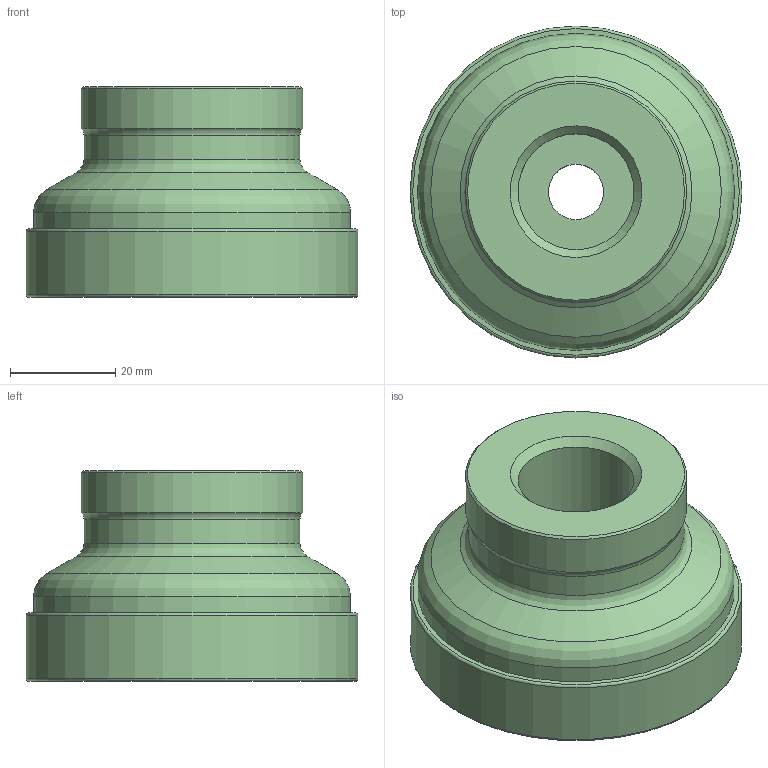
import cadquery as cq
import math

base_diameter = 63.0
base_height = 13.0
base_edge_radius = 0.5

total_height = 40.0
shoulder_radius = 60.2 / 2
shoulder_wall_top = 16.1
shoulder_round = 5.0
flank_angle = math.radians(30)
neck_radius = 41.0 / 2
neck_round = 3.0
collar_radius = 42.0 / 2
collar_height = 8.0
collar_chamfer = 0.4
undercut_round = 2.0

bore_diameter = 22.0
bore_chamfer = 1.5
bolt_hole_diameter = 10.5


def arc_point(center, radius, angle):
    """Point on a circle in the radius-height plane."""
    return (center[0] + radius * math.cos(angle), center[1] + radius * math.sin(angle))


def make_base():
    disc = (
        cq.Workplane("XY")
        .circle(base_diameter / 2)
        .extrude(base_height)
        .edges()
        .fillet(base_edge_radius)
    )
    return disc.faces(">Z").workplane().hole(bolt_hole_diameter)


def make_housing():
    flank_normal = math.pi / 2 - flank_angle

    shoulder_center = (shoulder_radius - shoulder_round, shoulder_wall_top)
    shoulder_middle = arc_point(shoulder_center, shoulder_round, flank_normal / 2)
    flank_bottom = arc_point(shoulder_center, shoulder_round, flank_normal)

    neck_center_radius = neck_radius + neck_round
    flank_top_radius = neck_center_radius - neck_round * math.cos(flank_normal)
    flank_top_height = flank_bottom[1] + (flank_bottom[0] - flank_top_radius) * math.tan(flank_angle)
    flank_top = (flank_top_radius, flank_top_height)
    neck_bottom = flank_top_height + neck_round * math.sin(flank_normal)
    neck_center = (neck_center_radius, neck_bottom)
    neck_middle = arc_point(neck_center, neck_round, math.pi + flank_normal / 2)

    collar_bottom = total_height - collar_height
    collar_step = collar_radius - neck_radius
    undercut_angle = math.acos(1 - collar_step / undercut_round)
    neck_top = collar_bottom - undercut_round * math.sin(undercut_angle)
    undercut_center = (neck_radius + undercut_round, neck_top)
    undercut_middle = arc_point(undercut_center, undercut_round, math.pi - undercut_angle / 2)

    bore_radius = bore_diameter / 2
    return (
        cq.Workplane("XZ")
        .moveTo(bore_radius, base_height)
        .lineTo(shoulder_radius, base_height)
        .lineTo(shoulder_radius, shoulder_wall_top)
        .threePointArc(shoulder_middle, flank_bottom)
        .lineTo(*flank_top)
        .threePointArc(neck_middle, (neck_radius, neck_bottom))
        .lineTo(neck_radius, neck_top)
        .threePointArc(undercut_middle, (collar_radius, collar_bottom))
        .lineTo(collar_radius, total_height - collar_chamfer)
        .lineTo(collar_radius - collar_chamfer, total_height)
        .lineTo(bore_radius + bore_chamfer, total_height)
        .lineTo(bore_radius, total_height - bore_chamfer)
        .close()
        .revolve(360, (0, 0), (0, 1))
    )


base = make_base()
housing = make_housing()

result = cq.Compound.makeCompound([base.val(), housing.val()])